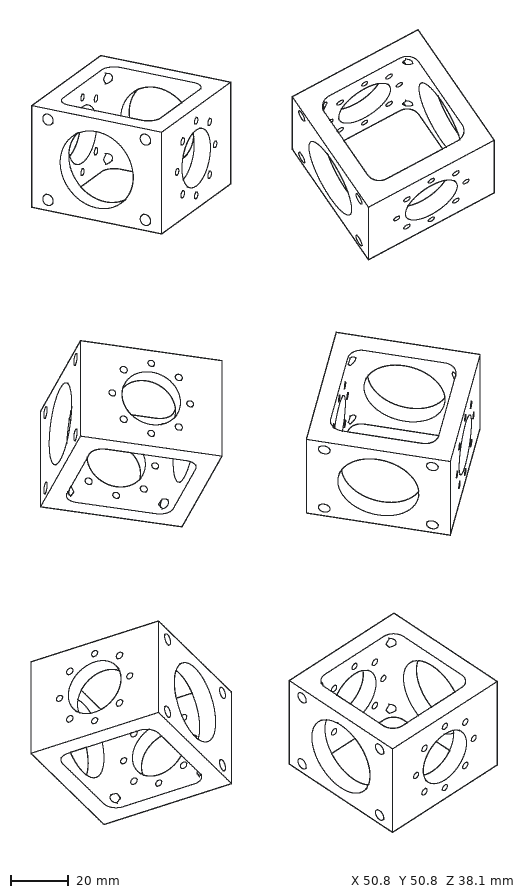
import cadquery as cq
import math

side = 50.8
height = 38.1
wall = 6.35
window = side - 2 * wall
window_corner_radius = 4.8

y_bore_diameter = 28.55
x_bore_diameter = 20.95

corner_hole_diameter = 4.05
corner_hole_spacing_x = window
corner_hole_spacing_z = 30.05
corner_hole_depth = 9.0
drill_point_angle = 118.0

ring_radius = 13.95
ring_hole_count = 8
straight_hole_diameter = 2.4
diagonal_hole_diameter = 2.55


def cylinder_along_x(diameter, y=0, z=0):
    return (
        cq.Workplane("YZ")
        .center(y, z)
        .circle(diameter / 2)
        .extrude(side / 2, both=True)
    )


def make_frame():
    window_cut = cq.Workplane("XY").box(window, window, height).edges("|Z").fillet(window_corner_radius)
    return cq.Workplane("XY").box(side, side, height).cut(window_cut)


def make_y_bore():
    return cq.Workplane("XZ").circle(y_bore_diameter / 2).extrude(side / 2, both=True)


def make_drilled_hole(x, z, wall_sign):
    """Blind hole with a conical end, entering from the outer face of one Y wall."""
    radius = corner_hole_diameter / 2
    point_length = radius / math.tan(math.radians(drill_point_angle / 2))
    entry = cq.Vector(x, wall_sign * side / 2, z)
    inward = cq.Vector(0, -wall_sign, 0)
    shank = cq.Solid.makeCylinder(radius, corner_hole_depth, entry, inward)
    point = cq.Solid.makeCone(radius, 0, point_length, entry + inward * corner_hole_depth, inward)
    return cq.Workplane(shank.fuse(point))


def cut_corner_holes(body):
    for wall_sign in (-1, 1):
        for x_sign in (-1, 1):
            for z_sign in (-1, 1):
                x = x_sign * corner_hole_spacing_x / 2
                z = z_sign * corner_hole_spacing_z / 2
                body = body.cut(make_drilled_hole(x, z, wall_sign))
    return body


def cut_hole_ring(body):
    for index in range(ring_hole_count):
        angle = 2 * math.pi * index / ring_hole_count
        diameter = straight_hole_diameter if index % 2 == 0 else diagonal_hole_diameter
        y = ring_radius * math.cos(angle)
        z = ring_radius * math.sin(angle)
        body = body.cut(cylinder_along_x(diameter, y, z))
    return body


result = make_frame().cut(make_y_bore()).cut(cylinder_along_x(x_bore_diameter))
result = cut_corner_holes(result)
result = cut_hole_ring(result)